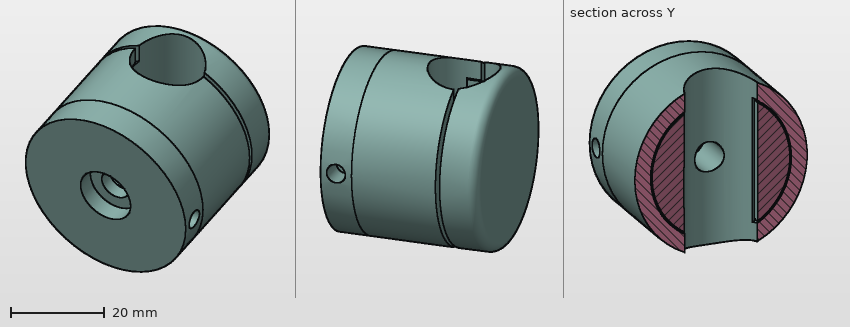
import cadquery as cq


outer_diameter = 40.0
total_length = 35.5
base_thickness = 7.05
cap_thickness = 8.5
clamp_gap = 0.95

tube_diameter = 17.0
bore_axis_shift = 1.5

spigot_diameter = 32.0
spigot_length = 4.0
recess_diameter = 32.5
cap_fillet = 2.0

screw_hole_diameter = 6.8
counterbore_diameter = 12.5
counterbore_depth = 4.0

grub_hole_diameter = 4.2
grub_hole_depth = 6.0

cap_face_y = total_length - cap_thickness
body_face_y = cap_face_y - clamp_gap
body_bore_y = body_face_y
cap_bore_y = body_bore_y - bore_axis_shift
spigot_end_y = cap_face_y - spigot_length


def y_cylinder(diameter, start_y, end_y):
    """Cylinder on the Y axis between two Y positions."""
    return (
        cq.Workplane("XZ", origin=(0, start_y, 0))
        .circle(diameter / 2)
        .extrude(start_y - end_y)
    )


def tube_bore(axis_y):
    """Cutter for the tube, through the full height at the given Y position."""
    return (
        cq.Workplane("XY", origin=(0, axis_y, -outer_diameter / 2))
        .circle(tube_diameter / 2)
        .extrude(outer_diameter)
    )


def make_base():
    """Disc with the counterbored screw hole and the grub screw hole."""
    disc = y_cylinder(outer_diameter, 0, base_thickness)
    screw_hole = y_cylinder(screw_hole_diameter, 0, base_thickness)
    counterbore = y_cylinder(counterbore_diameter, 0, counterbore_depth)
    grub_hole = (
        cq.Workplane("YZ", origin=(outer_diameter / 2, base_thickness / 2, 0))
        .circle(grub_hole_diameter / 2)
        .extrude(-grub_hole_depth)
    )
    return disc.cut(screw_hole).cut(counterbore).cut(grub_hole).solids().val()


def make_body():
    """Cylinder with the front part of the tube bore, the cap spigot recess and the screw hole."""
    cylinder = y_cylinder(outer_diameter, base_thickness, body_face_y)
    recess = y_cylinder(recess_diameter, spigot_end_y, body_face_y)
    screw_hole = y_cylinder(screw_hole_diameter, base_thickness, body_bore_y)
    return cylinder.cut(recess).cut(screw_hole).cut(tube_bore(body_bore_y)).solids().val()


def make_cap():
    """Cap with a rounded back rim and a spigot, both cut by the back part of the tube bore."""
    disc = y_cylinder(outer_diameter, cap_face_y, total_length)
    disc = disc.faces(">Y").edges().fillet(cap_fillet)
    spigot = y_cylinder(spigot_diameter, spigot_end_y, cap_face_y)
    return disc.union(spigot).cut(tube_bore(cap_bore_y)).solids().val()


base = make_base()
body = make_body()
cap = make_cap()

result = cq.Compound.makeCompound([base, body, cap])